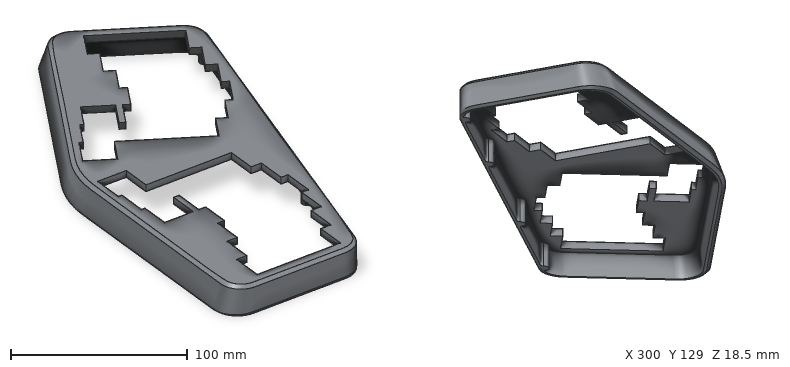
import cadquery as cq
import math

LENGTH = 300.0
WIDTH = 129.0
HEIGHT = 18.5
RIM_HEIGHT = 1.8
TILT = 15.0
CORNER_RADIUS = 16.5
NOSE_RADIUS = 68.5
TOP_CHAMFER = 1.95

FOOT_INSETS = (2.0, 1.0)
TOP_INSETS = (6.0, 1.8)

PLATE_THICKNESS = 4.5
BACK_WALL = 1.8
CAVITY_FLOOR_INSETS = (4.0, 2.5)
CAVITY_ROOF_INSETS = (7.0, 3.3)

KEY_COLUMNS = 7
KEYS_SPAN = 133.5
KEY_PITCH = KEYS_SPAN / KEY_COLUMNS
STAGGER = KEY_PITCH / 8
KEY_CLEARANCE = 1.0
KEY_ORIGIN = (-123.0, 118.0)
FINGER_BLOCKS = [(0, 0, 3), (1, 3, 3), (2, 6, 3), (3, 8, 3), (4, 6, 3), (5, 3, 3)]
THUMB_BLOCKS = [(4, -20, 1), (5, -21, 1), (6, -22, 1)]

POST_DISTANCES = (46.8, 116.0)
POST_RADIUS = 4.0
POST_FILLET = 1.5

SIN = math.sin(math.radians(TILT))
COS = math.cos(math.radians(TILT))


def outline(level, front_inset, side_inset, back_inset=0.0):
    """Closed wing outline at a level, inset from the widest one."""
    corner_r = CORNER_RADIUS - front_inset / 2
    back_r = CORNER_RADIUS - max(side_inset, back_inset)
    nose_r = NOSE_RADIUS - front_inset
    back_y = WIDTH - back_inset
    nose_y = NOSE_RADIUS

    wide_x = -LENGTH / 2 + CORNER_RADIUS
    wide_y = nose_y - (wide_x * SIN + NOSE_RADIUS - CORNER_RADIUS) / COS
    side_shift = side_inset + corner_r - CORNER_RADIUS
    front_shift = front_inset + corner_r - CORNER_RADIUS
    front_x = wide_x + side_shift * COS + front_shift * SIN
    front_y = wide_y - side_shift * SIN + front_shift * COS

    back_cy = back_y - back_r
    back_cx = front_x + ((back_cy - front_y) * SIN + back_r - corner_r) / COS

    def on_arc(cx, cy, radius, angle):
        turn = math.radians(angle)
        return cx + radius * math.cos(turn), cy + radius * math.sin(turn)

    side_angle = 180 - TILT
    front_angle = 270 - TILT
    left = [
        on_arc(back_cx, back_cy, back_r, 90),
        on_arc(back_cx, back_cy, back_r, (90 + side_angle) / 2),
        on_arc(back_cx, back_cy, back_r, side_angle),
        on_arc(front_x, front_y, corner_r, side_angle),
        on_arc(front_x, front_y, corner_r, (side_angle + front_angle) / 2),
        on_arc(front_x, front_y, corner_r, front_angle),
        on_arc(0, nose_y, nose_r, front_angle),
    ]
    right = [(-x, y) for x, y in left]
    return (
        cq.Workplane("XY", origin=(0, 0, level))
        .moveTo(*left[0])
        .threePointArc(left[1], left[2])
        .lineTo(*left[3])
        .threePointArc(left[4], left[5])
        .lineTo(*left[6])
        .threePointArc((0, nose_y - nose_r), right[6])
        .lineTo(*right[5])
        .threePointArc(right[4], right[3])
        .lineTo(*right[2])
        .threePointArc(right[1], right[0])
        .close()
        .val()
    )


def ruled_solid(lower, upper):
    return cq.Workplane(cq.Solid.makeLoft([lower, upper], True))


def make_frame():
    """Outer shell with its hollow, carrying the posts on the back wall."""
    widest = outline(RIM_HEIGHT, 0, 0)
    body = ruled_solid(widest, outline(HEIGHT, *TOP_INSETS)).faces(">Z").chamfer(TOP_CHAMFER)
    foot = ruled_solid(outline(0, *FOOT_INSETS), widest)
    cavity = ruled_solid(
        outline(0, *CAVITY_FLOOR_INSETS, BACK_WALL),
        outline(HEIGHT - PLATE_THICKNESS, *CAVITY_ROOF_INSETS, BACK_WALL),
    )
    for distance in POST_DISTANCES:
        cavity = cavity.cut(make_post(distance)).cut(make_post(-distance))
    return body.union(foot).cut(cavity)


def make_post(x):
    """Half-round post centred on the inner face of the back wall, blended into it."""
    post_height = HEIGHT - PLATE_THICKNESS
    wall_y = WIDTH - BACK_WALL
    blend_x = math.sqrt((POST_RADIUS + POST_FILLET) ** 2 - POST_FILLET**2)
    base = (
        cq.Workplane("XY", origin=(x, wall_y, 0))
        .rect(2 * blend_x, 2 * POST_FILLET)
        .extrude(post_height)
    )
    blends = (
        cq.Workplane("XY", origin=(x, wall_y - POST_FILLET, 0))
        .pushPoints([(-blend_x, 0), (blend_x, 0)])
        .circle(POST_FILLET)
        .extrude(post_height)
    )
    core = cq.Workplane("XY", origin=(x, wall_y, 0)).circle(POST_RADIUS).extrude(post_height)
    return base.cut(blends).union(core)


def make_left_openings():
    """All key blocks of the left hand, turned with the left wing."""
    openings = cq.Workplane("XY")
    for column, staggers, rows in FINGER_BLOCKS + THUMB_BLOCKS:
        block = cq.Workplane("XY").box(
            KEY_PITCH + KEY_CLEARANCE,
            rows * KEY_PITCH + KEY_CLEARANCE,
            PLATE_THICKNESS,
            centered=False,
        )
        front_edge = staggers * STAGGER - rows * KEY_PITCH - KEY_CLEARANCE
        openings = openings.union(block.translate((column * KEY_PITCH, front_edge, 0)))
    turned = openings.rotate((0, 0, 0), (0, 0, 1), -TILT)
    return turned.translate((*KEY_ORIGIN, HEIGHT - PLATE_THICKNESS))


left_openings = make_left_openings()
result = make_frame().cut(left_openings).cut(left_openings.mirror("YZ"))